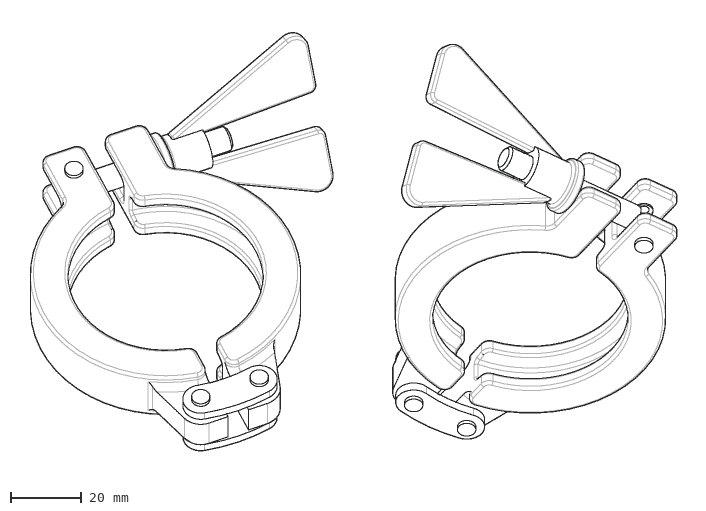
import cadquery as cq
import math

ring_outer_radius = 38.1
ring_inner_radius = 27.5
clamp_height = 17.0
half_gap = 3.1
ear_left_x = -52.4
ear_outer_y = 16.0
ear_root_radius = 2.7
corner_radius = 2.7
rim_fillet = 0.9

groove_radius = 32.7
groove_mouth_half_height = 4.3
groove_wall_angle = 10
groove_root_fillet = 1.1
groove_mouth_fillet = 0.9

slot_half_height = 4.8
slot_end_x = -37.8
slot_end_fillet = 1.9
slot_mouth_fillet = 1.1

pin_diameter = 5.2
pin_half_length = 9.6
hinge_x = 45.9
hinge_y = 9.0
knuckle_radius = 5.9
knuckle_half_height = 4.5
knuckle_side_angle = 16
knuckle_seam_fillet = 1.9
link_end_radius = 5.1
link_bottom_z = 5.7

bolt_x = -44.0
ear_pin_y = -9.2
swivel_radius = 5.0

rod_diameter = 7.2
rod_end_y = 38.4
rod_chamfer = 0.8
barrel_diameter = 13.0
barrel_end_y = 30.7
barrel_root_fillet = 0.8
flange_diameter = 16.0
flange_thickness = 2.8
flange_fillet = 0.5

wing_lean = 25.2
wing_thickness = 4.0
wing_root_y = 21.3
wing_root_reach = 6.6
wing_tip_y = 66.0
wing_tip_outer_reach = 27.3
wing_tip_inner_reach = 6.2
wing_inner_root_reach = 4.9
wing_root_corner_radius = 0.9
wing_outer_corner_radius = 4.3
wing_inner_corner_radius = 2.2
wing_fillet = 0.8

half_height = clamp_height / 2
ring_diameter = 2 * ring_outer_radius
hinge_radius = math.hypot(hinge_x, hinge_y)
hinge_angle = math.atan2(hinge_y, hinge_x)
barrel_y = ear_outer_y + flange_thickness


def nearest(x, y, z):
    """Selector for the edge whose centre is nearest to a point."""
    return cq.selectors.NearestToPointSelector((x, y, z))


def polar(radius, angle, centre=(0, 0)):
    return (centre[0] + radius * math.cos(angle), centre[1] + radius * math.sin(angle))


def cylinder_z(radius, half_length):
    return cq.Workplane("XY").circle(radius).extrude(half_length, both=True)


def cylinder_y(diameter, start_y, end_y):
    """Cylinder on the bolt axis."""
    base = cq.Workplane("XZ", origin=(bolt_x, start_y, 0))
    return base.circle(diameter / 2).extrude(start_y - end_y)


def gap_cutter():
    """Block that removes everything beyond the gap face of the +Y half."""
    length = 2 * ring_diameter
    block = cq.Workplane("XY").box(length, length, length)
    return block.translate((0, half_gap - length / 2, 0))


def half_ring():
    """Half ring with its ear, with rounded upright corners and rims."""
    ear = (
        cq.Workplane("XY")
        .rect(ear_left_x, ear_outer_y, centered=False)
        .extrude(half_height, both=True)
    )
    bore = cylinder_z(ring_inner_radius, half_height)
    blank = cylinder_z(ring_outer_radius, half_height).union(ear).cut(bore).cut(gap_cutter())

    root_x = -math.sqrt(ring_outer_radius**2 - ear_outer_y**2)
    corners = (
        nearest(ear_left_x, ear_outer_y, 0)
        + nearest(ear_left_x, half_gap, 0)
        + nearest(-ring_inner_radius, half_gap, 0)
        + nearest(ring_inner_radius, half_gap, 0)
        + nearest(ring_outer_radius, half_gap, 0)
    )
    blank = blank.edges(nearest(root_x, ear_outer_y, 0)).fillet(ear_root_radius)
    blank = blank.edges("|Z").edges(corners).fillet(corner_radius)
    return blank.faces("<Z or >Z").edges().fillet(rim_fillet)


def knuckle():
    """Hinge lug; it overruns the gap face and the inside of the ring wall, to be trimmed there."""
    side_normal = math.radians(90 - knuckle_side_angle)
    pin_centre = (hinge_x, hinge_y)
    right_x = hinge_x + knuckle_radius
    tangent_x, tangent_y = polar(knuckle_radius, side_normal, pin_centre)
    buried_x = ring_inner_radius + corner_radius + 2.2
    side_y = tangent_y + (tangent_x - buried_x) / math.tan(side_normal)
    return (
        cq.Workplane("XY")
        .moveTo(buried_x, -half_gap)
        .lineTo(right_x, -half_gap)
        .lineTo(right_x, hinge_y)
        .threePointArc(polar(knuckle_radius, side_normal / 2, pin_centre), (tangent_x, tangent_y))
        .lineTo(buried_x, side_y)
        .close()
        .extrude(knuckle_half_height, both=True)
    )


def add_knuckle(body):
    """Join the knuckle to the ring wall with a fillet all round the seam."""
    body = body.union(knuckle())
    seam_x, seam_y = polar(ring_outer_radius, math.radians(30))
    middle_x, middle_y = polar(ring_outer_radius, math.radians(20))
    seam = (
        nearest(seam_x, seam_y, 0)
        + nearest(middle_x, middle_y, knuckle_half_height)
        + nearest(middle_x, middle_y, -knuckle_half_height)
    )
    return body.edges(seam).fillet(knuckle_seam_fillet).cut(gap_cutter())


def cut_groove(body):
    """Revolved wedge groove, narrowing outward, with a rounded mouth."""
    narrowing = (groove_radius - ring_inner_radius) * math.tan(math.radians(groove_wall_angle))
    root_half_height = groove_mouth_half_height - narrowing
    start_radius = ring_inner_radius / 2
    profile = [
        (start_radius, -groove_mouth_half_height),
        (ring_inner_radius, -groove_mouth_half_height),
        (groove_radius, -root_half_height),
        (groove_radius, root_half_height),
        (ring_inner_radius, groove_mouth_half_height),
        (start_radius, groove_mouth_half_height),
    ]
    cutter = cq.Workplane("XZ").polyline(profile).close().revolve(360, (0, 0), (0, 1))
    root_edges = cq.selectors.RadiusNthSelector(-1)
    cutter = cutter.edges("%CIRCLE").edges(root_edges).fillet(groove_root_fillet)
    mouth = nearest(groove_radius, half_gap, 0)
    return body.cut(cutter).edges(mouth).fillet(groove_mouth_fillet)


def cut_slot(body):
    """Slot that splits the ear into two plates, with rounded mouth edges all round."""
    length = slot_end_x - 2 * ear_left_x
    cutter = (
        cq.Workplane("XZ")
        .center(slot_end_x - length / 2, 0)
        .rect(length, 2 * slot_half_height)
        .extrude(2 * ear_outer_y, both=True)
        .edges("|Y and >X")
        .fillet(slot_end_fillet)
    )
    return body.cut(cutter).edges(nearest(slot_end_x, half_gap, 0)).fillet(slot_mouth_fillet)


def clamp_half():
    return cut_slot(cut_groove(add_knuckle(half_ring())))


def pin(x, y):
    return cylinder_z(pin_diameter / 2, pin_half_length).translate((x, y, 0))


def link():
    """Curved link whose sides are concentric with the ring."""
    inner_radius = hinge_radius - link_end_radius
    outer_radius = hinge_radius + link_end_radius
    upper_tip = polar(link_end_radius, hinge_angle + math.pi / 2, (hinge_x, hinge_y))
    lower_tip = (upper_tip[0], -upper_tip[1])
    return (
        cq.Workplane("XY")
        .workplane(offset=link_bottom_z)
        .moveTo(*polar(inner_radius, -hinge_angle))
        .threePointArc((inner_radius, 0), polar(inner_radius, hinge_angle))
        .threePointArc(upper_tip, polar(outer_radius, hinge_angle))
        .threePointArc((outer_radius, 0), polar(outer_radius, -hinge_angle))
        .threePointArc(lower_tip, polar(inner_radius, -hinge_angle))
        .close()
        .extrude(half_height - link_bottom_z)
    )


def swivel_clearance():
    return cq.Workplane("XY").sphere(swivel_radius).translate((bolt_x, ear_pin_y, 0))


def build_clamp():
    """Both halves joined by the hinge, with the split ear pin in the -Y half."""
    half = clamp_half()
    clamp = half.union(half.mirror("XZ"))
    for side in (1, -1):
        clamp = clamp.union(pin(hinge_x, side * hinge_y))
    clamp = clamp.union(link()).union(link().mirror("XY"))
    return clamp.union(pin(bolt_x, ear_pin_y).cut(swivel_clearance()))


def wing():
    """Wing plate drawn flat as reach against Y, then turned up about the bolt axis."""
    buried_y = barrel_end_y - 1.1
    outline = [
        (0, wing_root_y),
        (wing_root_reach, wing_root_y),
        (wing_tip_outer_reach, wing_tip_y),
        (wing_tip_inner_reach, wing_tip_y),
        (wing_inner_root_reach, buried_y),
        (0, buried_y),
    ]
    plate = cq.Workplane("XY").polyline(outline).close().extrude(wing_thickness / 2, both=True)
    corner_fillets = [
        (wing_root_reach, wing_root_y, wing_root_corner_radius),
        (wing_tip_outer_reach, wing_tip_y, wing_outer_corner_radius),
        (wing_tip_inner_reach, wing_tip_y, wing_inner_corner_radius),
    ]
    for x, y, radius in corner_fillets:
        plate = plate.edges(nearest(x, y, 0)).fillet(radius)
    plate = plate.faces("<Z or >Z").edges().fillet(wing_fillet)
    return plate.rotate((0, 0, 0), (0, 1, 0), -90 - wing_lean).translate((bolt_x, 0, 0))


def barrel_with_flange():
    flange = cylinder_y(flange_diameter, ear_outer_y, barrel_y)
    body = flange.union(cylinder_y(barrel_diameter, ear_outer_y, barrel_end_y))
    flange_rims = cq.selectors.RadiusNthSelector(-1)
    body = body.edges(nearest(bolt_x, barrel_y, barrel_diameter / 2)).fillet(barrel_root_fillet)
    return body.edges("%CIRCLE").edges(flange_rims).fillet(flange_fillet)


def build_wing_bolt():
    """Rod, flanged barrel and two opposite wings in one piece."""
    rod = cylinder_y(rod_diameter, ear_pin_y, rod_end_y)
    rod = rod.faces(">Y").edges().chamfer(rod_chamfer).cut(swivel_clearance())
    bolt = rod.union(barrel_with_flange())
    for turn in (0, 180):
        bolt = bolt.union(wing().rotate((bolt_x, 0, 0), (bolt_x, 1, 0), turn))
    return bolt


clamp = build_clamp()
wing_bolt = build_wing_bolt()

result = cq.Compound.makeCompound([*clamp.solids().vals(), *wing_bolt.solids().vals()])